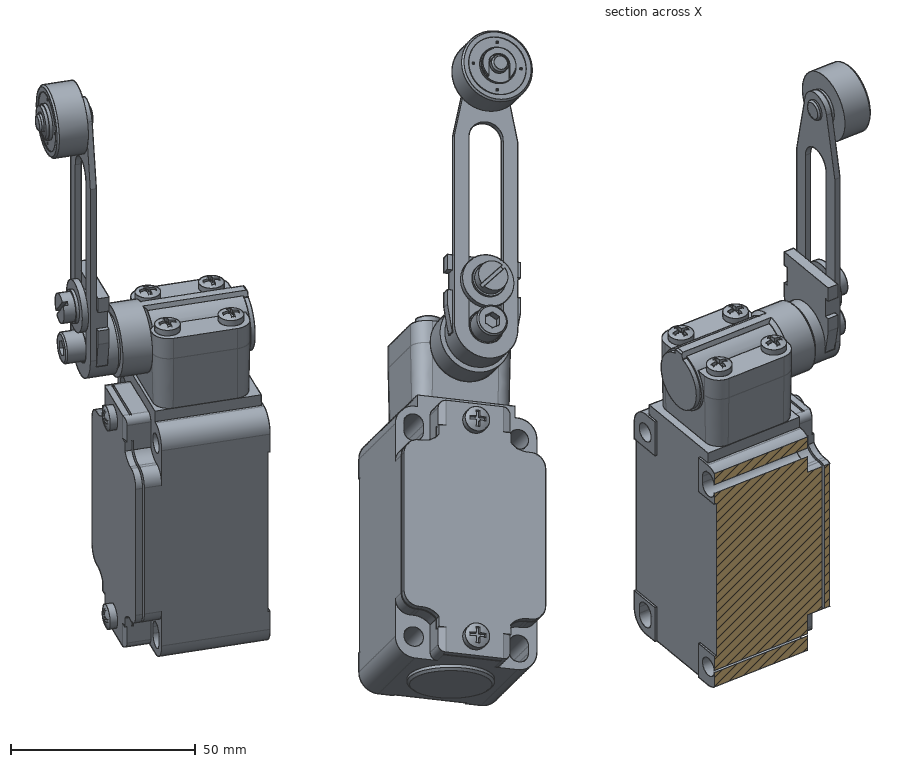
import cadquery as cq
import math


TOTAL_HEIGHT = 174.7

HOUSING_HALF_WIDTH = 20.3
HOUSING_BOTTOM = 1.5
HOUSING_TOP = 73.9
HOUSING_MID = (HOUSING_BOTTOM + HOUSING_TOP) / 2
HOUSING_BACK = 0.61
HOUSING_FRONT = 30.7
HOUSING_CORNER = 5.6
PAD_INNER_X = 10.3
PAD_HEIGHT = 11.2
NECK_HALF_WIDTH = 14.0
NECK_TOP = 77.2

HOLE_X = 15.0
HOLE_Z_OFFSET = 30.0
HOLE_RADIUS = 2.8
MOUNT_SLOT_LENGTH = 7.7

ENTRY_RADIUS = 11.9
ENTRY_DEPTH = 17.8
ENTRY_CHAMFER = 0.7

COVER_FRONT = 38.0
TAB_HALF_WIDTH = 10.3
TAB_CORNER = 2.1
TAB_SHOULDER_OFFSET = 29.0
TAB_FACE_HALF_WIDTH = 8.2
TAB_BEVEL_DEPTH = 0.61
CUTOUT_RADIUS = 6.1
COVER_SHOULDER_RADIUS = 4.2
TAB_BEVEL_LENGTH = 8.7
SEAM_DEPTH = 35.6
SEAM_WIDTH = 0.5
SEAM_INSET = 0.26
COVER_SCREW_OFFSET = 31.1

SCREW_RADIUS = 3.5
SCREW_HEIGHT = 3.0
SCREW_CROWN = 0.9
CROSS_LENGTH = 4.5
CROSS_WIDTH = 1.0
CROSS_DEPTH = 1.4

TURRET_HALF_WIDTH = 14.2
TURRET_BACK = 2.6
TURRET_FRONT = 30.2
TURRET_TOP = 99.2
TURRET_CORNER = 4.7
TURRET_DRAFT_ANGLE = 1.2
TURRET_SCREW_X = 9.0
TURRET_SCREW_DEPTHS = (7.7, 25.7)
TURRET_SCREW_HEIGHT = 2.6

SHAFT_Z = 93.0
BEARING_RADIUS = 10.1
BEARING_FRONT = 38.6
BEARING_FLARE = 1.0
CROWN_RADIUS = 8.9
CROWN_BACK = 2.0
REAR_CAP_RADIUS = 8.4
RIDGE_HALF_WIDTH = 1.2
RIDGE_FOOT_HALF_WIDTH = 2.0
RIDGE_CHAMFER = 0.5
SHAFT_NECK_RADIUS = 7.9
SHAFT_NECK_FRONT = 39.5

CARRIER_RADIUS = 9.0
CARRIER_BACK = 42.6
CARRIER_TOP = 113.0
EAR_HALF_WIDTH = 10.5
UPPER_EAR_BOTTOM = 108.7
LOWER_EAR_TOP = 102.9
LOWER_EAR_BOTTOM = 98.7
LOWER_EAR_FOOT = 90.8

ARM_BACK = 45.8
ARM_FRONT = 47.5
ARM_HALF_WIDTH = CARRIER_RADIUS
ARM_TAPER_Z = 146.7
ARM_TIP_RADIUS = 5.2
SLOT_HALF_WIDTH = 4.9
SLOT_TOP_CENTER = 146.7

CLAMP_Z = 105.5
CLAMP_WASHER_RADIUS = 7.3
CLAMP_WASHER_FRONT = 49.3
CLAMP_COLLAR_RADIUS = 4.7
CLAMP_COLLAR_FRONT = 50.1
CLAMP_HEAD_RADIUS = 4.2
CLAMP_HEAD_FRONT = 53.5
DRIVER_SLOT_WIDTH = 1.0
DRIVER_SLOT_DEPTH = 1.4
DRIVER_SLOT_ANGLE = 45
SOCKET_RADIUS = 4.4
SOCKET_FRONT = 53.0
SOCKET_CHAMFER = 0.44
SPRING_WASHER_RADIUS = 4.7
SPRING_WASHER_FRONT = 47.2
HEX_DIAMETER = 4.5
HEX_DEPTH = 2.6
HEX_ANGLE = 30

ROLLER_RADIUS = 10.1
ROLLER_Z = TOTAL_HEIGHT - ROLLER_RADIUS
ROLLER_BACK = 48.4
ROLLER_FRONT = 57.1
ROLLER_CHAMFER = 0.5
ROLLER_FACE_RADIUS = 8.2
ROLLER_FACE_RECESS = 0.26
DIMPLE_COUNT = 4
DIMPLE_CIRCLE = 6.8
DIMPLE_RADIUS = 0.3
DIMPLE_DEPTH = 0.5
ROLLER_WASHER_RADIUS = 5.0
ROLLER_WASHER_FRONT = 57.8
CLIP_RADIUS = 4.7
CLIP_FRONT = 58.7
CLIP_GAP = 6.0
PIN_RADIUS = 2.5
PIN_FRONT = 59.7
PIN_CHAMFER = 0.5
RIVET_RADIUS = 3.0
RIVET_BACK = 44.7


def front_plane(depth, z=0):
    """Sketch plane facing -Y: local x is X, local y is Z, extrusion goes toward -Y."""
    return cq.Workplane("XZ", origin=(0, -depth, z))


def disc(radius, z, back, front):
    """Cylinder along Y, centred on X = 0, between two depths."""
    return front_plane(back, z).circle(radius).extrude(front - back)


def block(half_width, back, front, bottom, top):
    """Box centred on X = 0, between two depths and two heights."""
    size = (2 * half_width, front - back, top - bottom)
    center = (0, -(back + front) / 2, (bottom + top) / 2)
    return cq.Workplane("XY").box(*size).translate(center)


def cross_screw(height):
    """Domed screw head standing on Z = 0 with a cross recess in its top."""
    sphere_radius = (SCREW_RADIUS**2 + SCREW_CROWN**2) / (2 * SCREW_CROWN)
    dome = cq.Workplane("XY", origin=(0, 0, height - sphere_radius)).sphere(sphere_radius)
    head = cq.Workplane("XY").circle(SCREW_RADIUS).extrude(height).intersect(dome)
    for length, width in ((CROSS_LENGTH, CROSS_WIDTH), (CROSS_WIDTH, CROSS_LENGTH)):
        bar = cq.Workplane("XY", origin=(0, 0, height - CROSS_DEPTH)).rect(length, width)
        head = head.cut(bar.extrude(CROSS_DEPTH))
    return head


def make_housing():
    height = HOUSING_TOP - HOUSING_BOTTOM
    body = block(HOUSING_HALF_WIDTH, 0, HOUSING_FRONT, HOUSING_BOTTOM, HOUSING_TOP)
    body = body.edges("|Y").fillet(HOUSING_CORNER)

    body = body.cut(block(PAD_INNER_X, 0, HOUSING_BACK, HOUSING_BOTTOM, HOUSING_TOP))
    relief_half = height / 2 - PAD_HEIGHT
    relief_bottom = HOUSING_MID - relief_half
    relief = block(HOUSING_HALF_WIDTH, 0, HOUSING_BACK, relief_bottom, relief_bottom + 2 * relief_half)
    body = body.cut(relief)

    neck = block(NECK_HALF_WIDTH, HOUSING_BACK, HOUSING_FRONT, HOUSING_TOP - HOUSING_CORNER, NECK_TOP)
    body = body.union(neck)

    for side in (-1, 1):
        for end in (-1, 1):
            sketch = front_plane(0, HOUSING_MID).center(side * HOLE_X, end * HOLE_Z_OFFSET)
            if side == end:
                hole = sketch.circle(HOLE_RADIUS)
            else:
                hole = sketch.slot2D(MOUNT_SLOT_LENGTH, 2 * HOLE_RADIUS, 90)
            body = body.cut(hole.extrude(HOUSING_FRONT))

    entry = cq.Workplane("XY", origin=(0, -ENTRY_DEPTH, 0)).circle(ENTRY_RADIUS).extrude(2 * HOUSING_BOTTOM)
    entry = entry.faces("<Z").edges().chamfer(ENTRY_CHAMFER)
    return body.union(entry)


def cover_quarter(depth):
    """Upper right quarter of the cover, scooped out around the mounting hole."""
    half_height = (HOUSING_TOP - HOUSING_BOTTOM) / 2
    cutout_dx = HOLE_X - TAB_HALF_WIDTH
    cutout_start_z = HOLE_Z_OFFSET - math.sqrt(CUTOUT_RADIUS**2 - cutout_dx**2)
    shoulder_z = HOLE_Z_OFFSET - CUTOUT_RADIUS
    shoulder_x = HOUSING_HALF_WIDTH - COVER_SHOULDER_RADIUS
    side_z = shoulder_z - COVER_SHOULDER_RADIUS
    mid_angle = (math.atan2(cutout_start_z - HOLE_Z_OFFSET, -cutout_dx) - math.pi / 2) / 2
    scoop_mid_x = HOLE_X + CUTOUT_RADIUS * math.cos(mid_angle)
    scoop_mid_z = HOLE_Z_OFFSET + CUTOUT_RADIUS * math.sin(mid_angle)
    return (
        front_plane(depth, HOUSING_MID)
        .lineTo(0, half_height)
        .lineTo(TAB_HALF_WIDTH - TAB_CORNER, half_height)
        .tangentArcPoint((TAB_HALF_WIDTH, half_height - TAB_CORNER), relative=False)
        .lineTo(TAB_HALF_WIDTH, cutout_start_z)
        .threePointArc((scoop_mid_x, scoop_mid_z), (HOLE_X, shoulder_z))
        .lineTo(shoulder_x, shoulder_z)
        .tangentArcPoint((HOUSING_HALF_WIDTH, side_z), relative=False)
        .lineTo(HOUSING_HALF_WIDTH, 0)
        .close()
    )


def mirror_four(quarter):
    """Mirror a quarter about X = 0 and about the middle height of the housing."""
    half = quarter.union(quarter.mirror("YZ"))
    return half.union(half.mirror("XY", (0, 0, HOUSING_MID)))


def make_cover():
    cover = mirror_four(cover_quarter(HOUSING_FRONT).extrude(COVER_FRONT - HOUSING_FRONT)).clean()

    seam_end = SEAM_DEPTH + SEAM_WIDTH
    seam_bottom = HOUSING_MID - TAB_SHOULDER_OFFSET
    seam_top = HOUSING_MID + TAB_SHOULDER_OFFSET
    core = cover.faces(">Y").wires().toPending().offset2D(-SEAM_INSET).extrude(-COVER_FRONT, combine=False)
    band = block(HOUSING_HALF_WIDTH, SEAM_DEPTH, seam_end, seam_bottom, seam_top)
    tab_end_half = TAB_HALF_WIDTH - TAB_CORNER
    band = band.union(block(tab_end_half, SEAM_DEPTH, seam_end, HOUSING_BOTTOM, HOUSING_TOP))
    cover = cover.cut(band.cut(core))

    for end in (-1, 1):
        for side in (-1, 1):
            bevel = (
                cq.Workplane("XY", origin=(0, 0, HOUSING_MID + end * TAB_SHOULDER_OFFSET))
                .moveTo(side * TAB_FACE_HALF_WIDTH, -COVER_FRONT)
                .lineTo(side * TAB_HALF_WIDTH, -COVER_FRONT + TAB_BEVEL_DEPTH)
                .lineTo(side * TAB_HALF_WIDTH, -COVER_FRONT)
                .close()
                .extrude(end * TAB_BEVEL_LENGTH)
            )
            cover = cover.cut(bevel)

    screw = cross_screw(SCREW_HEIGHT).rotate((0, 0, 0), (1, 0, 0), 90)
    for end in (-1, 1):
        cover = cover.union(screw.translate((0, -COVER_FRONT, HOUSING_MID + end * COVER_SCREW_OFFSET)))
    return cover


def make_turret():
    turret = block(TURRET_HALF_WIDTH, TURRET_BACK, TURRET_FRONT, SHAFT_Z, TURRET_TOP)
    turret = turret.edges("|Z").fillet(TURRET_CORNER)
    base = turret.faces("<Z").wires().toPending().workplane()
    base = base.extrude(SHAFT_Z - NECK_TOP, combine=False, taper=TURRET_DRAFT_ANGLE)
    turret = turret.union(base)
    turret = turret.union(disc(REAR_CAP_RADIUS, SHAFT_Z, HOUSING_BACK, TURRET_FRONT))
    turret = turret.union(disc(CROWN_RADIUS, SHAFT_Z, CROWN_BACK, TURRET_FRONT))
    bearing = disc(BEARING_RADIUS, SHAFT_Z, TURRET_FRONT - BEARING_FLARE, BEARING_FRONT)
    turret = turret.union(bearing.faces(">Y").edges().chamfer(BEARING_FLARE))

    ridge_top = SHAFT_Z + BEARING_RADIUS
    ridge_foot = SHAFT_Z + REAR_CAP_RADIUS
    ridge = (
        front_plane(HOUSING_BACK)
        .moveTo(-RIDGE_FOOT_HALF_WIDTH, SHAFT_Z)
        .lineTo(-RIDGE_FOOT_HALF_WIDTH, ridge_foot)
        .lineTo(-RIDGE_HALF_WIDTH, ridge_top)
        .lineTo(RIDGE_HALF_WIDTH, ridge_top)
        .lineTo(RIDGE_FOOT_HALF_WIDTH, ridge_foot)
        .lineTo(RIDGE_FOOT_HALF_WIDTH, SHAFT_Z)
        .close()
        .extrude(TURRET_FRONT - HOUSING_BACK)
    )
    ridge = ridge.edges(">Z and >Y").chamfer(RIDGE_CHAMFER)
    ridge = ridge.intersect(disc(BEARING_RADIUS, SHAFT_Z, HOUSING_BACK, TURRET_FRONT))
    turret = turret.union(ridge)

    screw = cross_screw(TURRET_SCREW_HEIGHT)
    for x in (-TURRET_SCREW_X, TURRET_SCREW_X):
        for depth in TURRET_SCREW_DEPTHS:
            turret = turret.union(screw.translate((x, -depth, TURRET_TOP)))
    return turret


def make_carrier():
    neck = disc(SHAFT_NECK_RADIUS, SHAFT_Z, BEARING_FRONT, SHAFT_NECK_FRONT)
    hub = disc(CARRIER_RADIUS, SHAFT_Z, SHAFT_NECK_FRONT, ARM_BACK)
    plate = block(CARRIER_RADIUS, CARRIER_BACK, ARM_BACK, SHAFT_Z, CARRIER_TOP)
    upper_ears = block(EAR_HALF_WIDTH, CARRIER_BACK, ARM_BACK, UPPER_EAR_BOTTOM, CARRIER_TOP)
    lower_ears = (
        front_plane(CARRIER_BACK)
        .moveTo(-CARRIER_RADIUS, LOWER_EAR_FOOT)
        .lineTo(-EAR_HALF_WIDTH, LOWER_EAR_BOTTOM)
        .lineTo(-EAR_HALF_WIDTH, LOWER_EAR_TOP)
        .lineTo(EAR_HALF_WIDTH, LOWER_EAR_TOP)
        .lineTo(EAR_HALF_WIDTH, LOWER_EAR_BOTTOM)
        .lineTo(CARRIER_RADIUS, LOWER_EAR_FOOT)
        .close()
        .extrude(ARM_BACK - CARRIER_BACK)
    )
    return neck.union(hub).union(plate).union(upper_ears).union(lower_ears)


def make_arm():
    rise = ROLLER_Z - ARM_TAPER_Z
    span = math.hypot(ARM_HALF_WIDTH, rise)
    tangent_angle = math.atan2(-rise, ARM_HALF_WIDTH) + math.acos(ARM_TIP_RADIUS / span)
    tangent_x = ARM_TIP_RADIUS * math.cos(tangent_angle)
    tangent_z = ROLLER_Z + ARM_TIP_RADIUS * math.sin(tangent_angle)
    arm = (
        front_plane(ARM_BACK)
        .moveTo(-ARM_HALF_WIDTH, SHAFT_Z)
        .threePointArc((0, SHAFT_Z - ARM_HALF_WIDTH), (ARM_HALF_WIDTH, SHAFT_Z))
        .lineTo(ARM_HALF_WIDTH, ARM_TAPER_Z)
        .lineTo(tangent_x, tangent_z)
        .threePointArc((0, ROLLER_Z + ARM_TIP_RADIUS), (-tangent_x, tangent_z))
        .lineTo(-ARM_HALF_WIDTH, ARM_TAPER_Z)
        .close()
        .extrude(ARM_FRONT - ARM_BACK)
    )
    slot_length = SLOT_TOP_CENTER - SHAFT_Z + 2 * SLOT_HALF_WIDTH
    slot = front_plane(ARM_BACK, (SHAFT_Z + SLOT_TOP_CENTER) / 2)
    slot = slot.slot2D(slot_length, 2 * SLOT_HALF_WIDTH, 90)
    return arm.cut(slot.extrude(ARM_FRONT - ARM_BACK))


def make_clamp_screw():
    washer = disc(CLAMP_WASHER_RADIUS, CLAMP_Z, ARM_FRONT, CLAMP_WASHER_FRONT)
    shank = disc(CLAMP_HEAD_RADIUS, CLAMP_Z, ARM_BACK, CLAMP_HEAD_FRONT)
    collar = disc(CLAMP_COLLAR_RADIUS, CLAMP_Z, CLAMP_WASHER_FRONT, CLAMP_COLLAR_FRONT)
    driver_slot = (
        front_plane(CLAMP_HEAD_FRONT - DRIVER_SLOT_DEPTH, CLAMP_Z)
        .transformed(rotate=(0, 0, DRIVER_SLOT_ANGLE))
        .rect(2 * CLAMP_HEAD_RADIUS, DRIVER_SLOT_WIDTH)
        .extrude(DRIVER_SLOT_DEPTH)
    )
    return washer.union(shank).union(collar).cut(driver_slot)


def make_socket_screw():
    head = disc(SOCKET_RADIUS, SHAFT_Z, ARM_BACK, SOCKET_FRONT).faces("<Y").edges().chamfer(SOCKET_CHAMFER)
    socket = front_plane(SOCKET_FRONT - HEX_DEPTH, SHAFT_Z).transformed(rotate=(0, 0, HEX_ANGLE))
    washer = disc(SPRING_WASHER_RADIUS, SHAFT_Z, ARM_BACK, SPRING_WASHER_FRONT)
    return head.union(washer).cut(socket.polygon(6, HEX_DIAMETER).extrude(HEX_DEPTH))


def make_roller():
    roller = disc(ROLLER_RADIUS, ROLLER_Z, ROLLER_BACK, ROLLER_FRONT)
    roller = roller.faces("<Y").edges().chamfer(ROLLER_CHAMFER)
    face = ROLLER_FRONT - ROLLER_FACE_RECESS
    roller = roller.cut(disc(ROLLER_FACE_RADIUS, ROLLER_Z, face, ROLLER_FRONT))
    dimples = front_plane(face - DIMPLE_DEPTH, ROLLER_Z).polarArray(DIMPLE_CIRCLE, 0, 360, DIMPLE_COUNT)
    roller = roller.cut(dimples.circle(DIMPLE_RADIUS).extrude(DIMPLE_DEPTH))

    inner_washer = disc(ROLLER_WASHER_RADIUS, ROLLER_Z, ARM_FRONT, ROLLER_BACK)
    outer_washer = disc(ROLLER_WASHER_RADIUS, ROLLER_Z, face, ROLLER_WASHER_FRONT)
    clip = disc(CLIP_RADIUS, ROLLER_Z, ROLLER_WASHER_FRONT, CLIP_FRONT)
    gap = block(CLIP_GAP / 2, ROLLER_WASHER_FRONT, CLIP_FRONT, ROLLER_Z - CLIP_RADIUS, ROLLER_Z)
    clip = clip.cut(gap).cut(disc(CLIP_GAP / 2, ROLLER_Z, ROLLER_WASHER_FRONT, CLIP_FRONT))
    pin = disc(PIN_RADIUS, ROLLER_Z, ARM_BACK, PIN_FRONT).faces("<Y").edges().chamfer(PIN_CHAMFER)
    rivet = disc(RIVET_RADIUS, ROLLER_Z, RIVET_BACK, ARM_BACK).faces(">Y").edges().chamfer(PIN_CHAMFER)
    return roller.union(inner_washer).union(outer_washer).union(clip).union(pin).union(rivet)


parts = [
    make_cover(),
    make_turret(),
    make_carrier(),
    make_arm(),
    make_clamp_screw(),
    make_socket_screw(),
    make_roller(),
]
result = make_housing()
for part in parts:
    result = result.union(part)